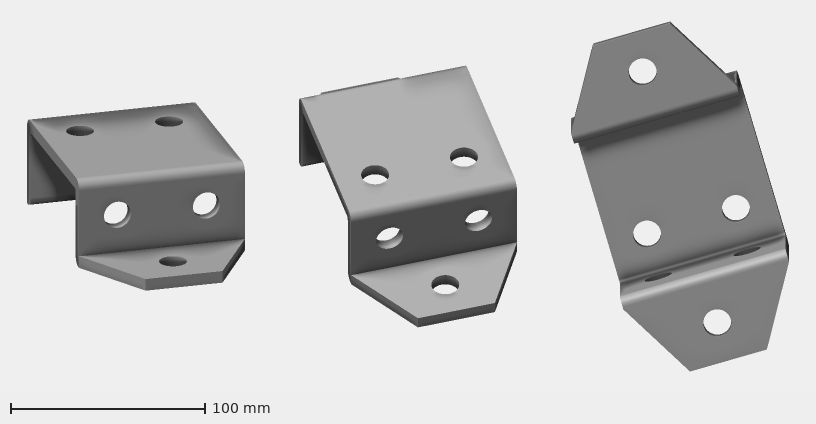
import cadquery as cq

length = 177.8
width = 88.9
height = 47.7
thickness = 6.4

channel_width = 96.0
outer_bend_radius = 5.0
inner_bend_radius = 2.0
foot_bend_radius = 5.0

flange_end_width = 41.2
flange_hole_spacing = 136.9

hole_diameter = 14.4
hole_pair_spacing = 47.7
top_hole_x = -21.2
leg_hole_height = 27.0

half_channel = channel_width / 2
half_inside = half_channel - thickness
CUT_MARGIN = 1.8


def make_channel():
    """Inverted U with rounded bends and two holes through the top and each leg."""
    channel = cq.Workplane("XY").box(channel_width, width, height, centered=(True, True, False))
    channel = channel.edges("|Y and >Z").fillet(outer_bend_radius)
    opening = cq.Workplane("XY").box(
        2 * half_inside, width, height - thickness, centered=(True, True, False)
    )
    opening = opening.edges("|Y and >Z").fillet(inner_bend_radius)
    channel = channel.cut(opening)

    inner_feet = cq.selectors.BoxSelector(
        (-half_inside - CUT_MARGIN, -width, -CUT_MARGIN),
        (half_inside + CUT_MARGIN, width, CUT_MARGIN),
    )
    channel = channel.edges("|Y").edges(inner_feet).fillet(foot_bend_radius)

    hole_ys = (-hole_pair_spacing / 2, hole_pair_spacing / 2)
    top_holes = (
        cq.Workplane("XY")
        .pushPoints([(top_hole_x, y) for y in hole_ys])
        .circle(hole_diameter / 2)
        .extrude(height + CUT_MARGIN)
    )
    leg_holes = (
        cq.Workplane("YZ")
        .pushPoints([(y, leg_hole_height) for y in hole_ys])
        .circle(hole_diameter / 2)
        .extrude(half_channel + CUT_MARGIN, both=True)
    )
    return channel.cut(top_holes).cut(leg_holes)


def make_flange(side):
    """Tapered plate with one hole, joining the leg on the given side (-1 or 1)."""
    root_x = side * half_channel
    end_x = side * length / 2
    plate = (
        cq.Workplane("XY")
        .polyline([
            (root_x, -width / 2),
            (end_x, -flange_end_width / 2),
            (end_x, flange_end_width / 2),
            (root_x, width / 2),
        ])
        .close()
        .extrude(thickness)
    )
    hole = (
        cq.Workplane("XY")
        .center(side * flange_hole_spacing / 2, 0)
        .circle(hole_diameter / 2)
        .extrude(thickness)
    )
    return plate.cut(hole)


LEFT = -1
RIGHT = 1

bracket = make_channel().union(make_flange(LEFT))
end_plate = make_flange(RIGHT)

result = cq.Compound.makeCompound([bracket.val(), end_plate.val()])